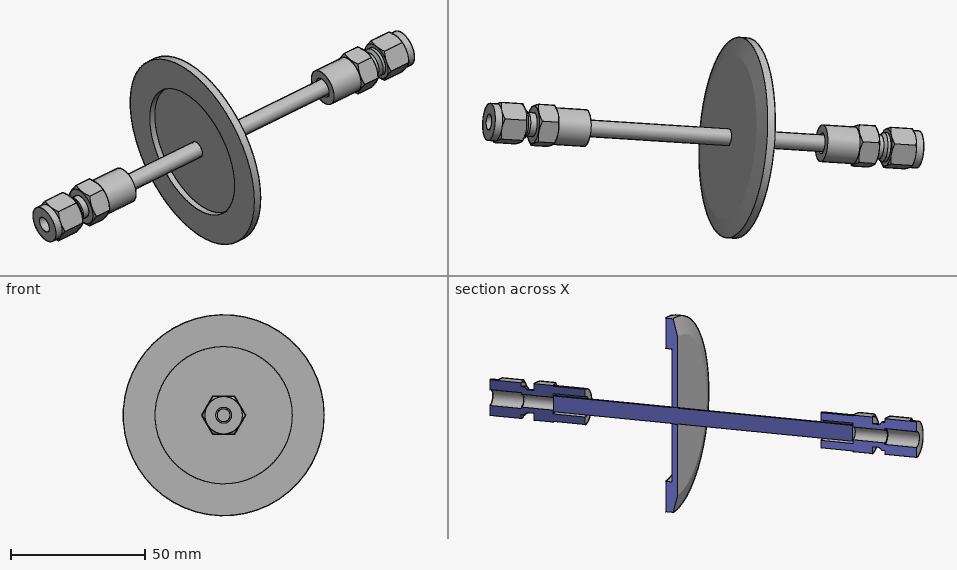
import cadquery as cq
import math

TOTAL_LENGTH = 170.0
HALF_LENGTH = TOTAL_LENGTH / 2

FLANGE_DIAMETER = 75.0
FLANGE_FRONT_Y = -15.0
FLANGE_RIM_WIDTH = 3.0
FLANGE_BACK_DIAMETER = 61.2
FLANGE_TAPER_ANGLE = 15.0
FLANGE_RECESS_DIAMETER = 51.2
FLANGE_RECESS_DEPTH = 2.4

ROD_DIAMETER = 6.3

COLLAR_END = 2.9
NUT_END = 12.5
CREST_END = 13.8
CONE_END = 15.0
HEX_START = 17.5
HEX_END = 25.3
FITTING_LENGTH = 38.0

COLLAR_DIAMETER = 14.0
NUT_ACROSS_FLATS = 14.0
CREST_DIAMETER = 11.0
NECK_DIAMETER = 9.0
HEX_ACROSS_FLATS = 14.3
HEX_FACE_DIAMETER = 14.0
SLEEVE_DIAMETER = 13.8
HEX_BEVEL_ANGLE = 30.0
HEX_SIDES = 6

ENTRY_DIAMETER = 6.0
ENTRY_DEPTH = NUT_END
FITTING_BORE_DIAMETER = 4.8
SOCKET_DIAMETER = 7.6
SOCKET_DEPTH = FITTING_LENGTH - HEX_END

ROD_LENGTH = TOTAL_LENGTH - 2 * (FITTING_LENGTH - SOCKET_DEPTH)


def turned(profile):
    """Revolve a closed (radius, y) outline about the Y axis."""
    return cq.Workplane("XY").polyline(profile).close().revolve(360, (0, 0, 0), (0, 1, 0))


def cylinder(diameter, start, end):
    """Solid cylinder on the Y axis between two Y positions."""
    radius = diameter / 2
    return turned([(0, start), (radius, start), (radius, end), (0, end)])


def bevelled_hex(across_flats, face_diameter, start, end):
    """Hexagonal prism on the Y axis, corners toward +X and -X, with both ends bevelled by cones."""
    corner_radius = across_flats / 2 / math.cos(math.pi / HEX_SIDES)
    face_radius = face_diameter / 2
    bevel = (corner_radius - face_radius) * math.tan(math.radians(HEX_BEVEL_ANGLE))
    prism = (
        cq.Workplane("XZ", origin=(0, end, 0))
        .polygon(HEX_SIDES, 2 * corner_radius)
        .extrude(end - start)
    )
    envelope = turned([
        (0, start),
        (face_radius, start),
        (corner_radius, start + bevel),
        (corner_radius, end - bevel),
        (face_radius, end),
        (0, end),
    ])
    return prism.intersect(envelope)


def make_flange():
    """Disc with a tapered back, a round recess in its front face and a hole for the rod."""
    rim_radius = FLANGE_DIAMETER / 2
    back_radius = FLANGE_BACK_DIAMETER / 2
    rim_back_y = FLANGE_FRONT_Y + FLANGE_RIM_WIDTH
    taper = (rim_radius - back_radius) * math.tan(math.radians(FLANGE_TAPER_ANGLE))
    back_y = rim_back_y + taper
    disc = turned([
        (0, FLANGE_FRONT_Y),
        (rim_radius, FLANGE_FRONT_Y),
        (rim_radius, rim_back_y),
        (back_radius, back_y),
        (0, back_y),
    ])
    recess = cylinder(FLANGE_RECESS_DIAMETER, FLANGE_FRONT_Y, FLANGE_FRONT_Y + FLANGE_RECESS_DEPTH)
    rod_hole = cylinder(ROD_DIAMETER, FLANGE_FRONT_Y, back_y)
    return disc.cut(recess).cut(rod_hole)


def make_rod():
    """Solid straight rod that passes through the flange and seats in both fittings."""
    return cylinder(ROD_DIAMETER, -ROD_LENGTH / 2, ROD_LENGTH / 2)


def make_fitting():
    """Compression fitting with its outer end face at Y = 0 and its sleeve toward +Y."""
    collar = cylinder(COLLAR_DIAMETER, 0, NUT_END)
    nut = bevelled_hex(NUT_ACROSS_FLATS, COLLAR_DIAMETER, COLLAR_END, NUT_END)
    neck = turned([
        (0, NUT_END),
        (CREST_DIAMETER / 2, NUT_END),
        (CREST_DIAMETER / 2, CREST_END),
        (NECK_DIAMETER / 2, CONE_END),
        (NECK_DIAMETER / 2, HEX_START),
        (0, HEX_START),
    ])
    body_hex = bevelled_hex(HEX_ACROSS_FLATS, HEX_FACE_DIAMETER, HEX_START, HEX_END)
    sleeve = cylinder(SLEEVE_DIAMETER, HEX_END, FITTING_LENGTH)
    solid = collar.union(nut).union(neck).union(body_hex).union(sleeve)

    entry = cylinder(ENTRY_DIAMETER, 0, ENTRY_DEPTH)
    bore = cylinder(FITTING_BORE_DIAMETER, 0, FITTING_LENGTH)
    socket = cylinder(SOCKET_DIAMETER, FITTING_LENGTH - SOCKET_DEPTH, FITTING_LENGTH)
    return solid.cut(entry).cut(bore).cut(socket)


flange = make_flange()
rod = make_rod()

fittings = []
for turn in (0, 180):
    fitting = make_fitting().translate((0, -HALF_LENGTH, 0)).rotate((0, 0, 0), (0, 0, 1), turn)
    fittings.append(fitting.val())

result = cq.Compound.makeCompound([flange.val(), rod.val(), *fittings])